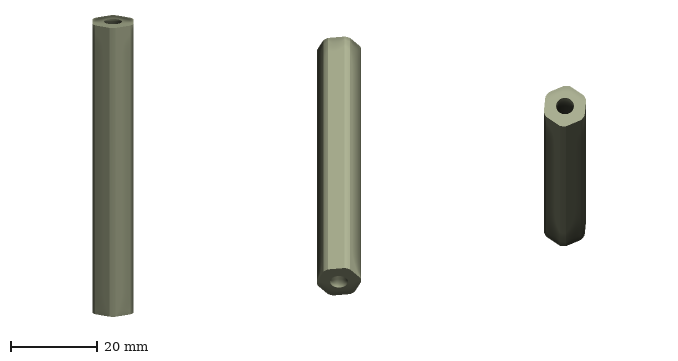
import cadquery as cq
import math

length = 69.85
across_flats = 9.5
across_corners = 10.3
bore_diameter = 4.1

sharp_corner_diameter = across_flats / math.cos(math.radians(30))
hexagon = (
    cq.Workplane("XY")
    .transformed(rotate=(0, 0, 90))
    .polygon(6, sharp_corner_diameter)
    .extrude(length)
)

corner_round = cq.Workplane("XY").circle(across_corners / 2).extrude(length)
bar = hexagon.intersect(corner_round)

result = bar.faces(">Z").workplane().hole(bore_diameter)